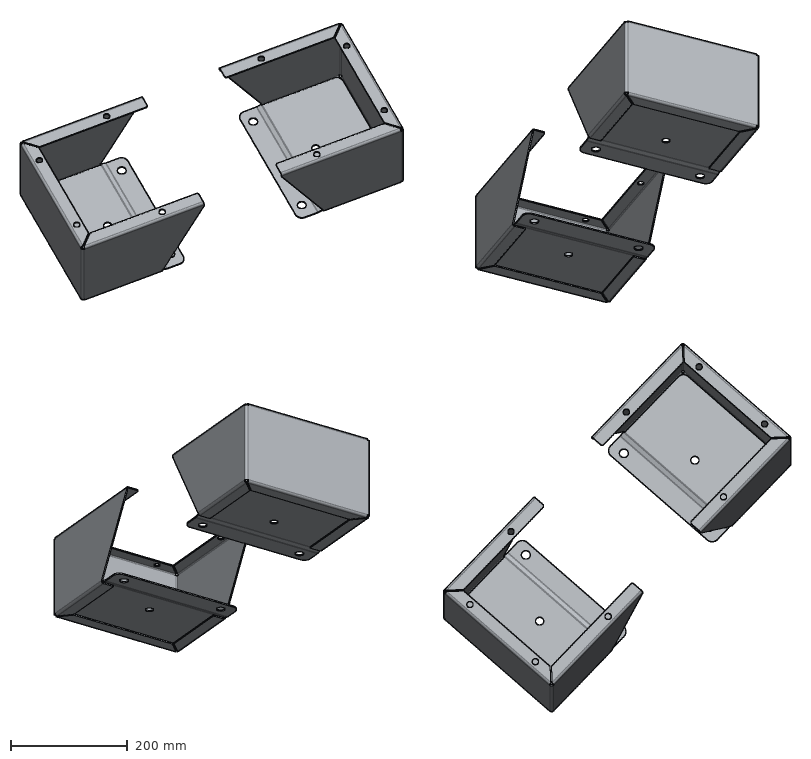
import cadquery as cq
import math

WIDTH = 254.0
LENGTH = 609.5
HEIGHT = 152.5

SHEET = 2.5
BEND_RADIUS = 4.0

BACK_Y = LENGTH / 2
TOP_FRONT_Y = 73.0
BOTTOM_FRONT_Y = 152.5
SLOPE_TOP_DROP = 7.5
FLANGE_WIDTH = 25.0
FLANGE_CORNER_RADIUS = 3.5
MITRE_GAP = 2.5
CORNER_RELIEF = 5.5

FLANGE_HOLE_DIAMETER = 11.0
FLANGE_HOLE_INSET = 14.0
BACK_HOLE_X = 76.0
SIDE_HOLE_Y = 146.0

PLATE_WIDTH = WIDTH - 2 * BEND_RADIUS
TAB_WIDTH = WIDTH - 2 * SHEET
PLATE_BACK_Y = BACK_Y - BEND_RADIUS
PLATE_CORNER_RADIUS = 12.0
STEP_TOP_Y = 152.0
STEP_BOTTOM_Y = 142.5
STEP_INSIDE_RADIUS = 3.0
TAB_FRONT_Y = 106.0

CENTRE_HOLE_DIAMETER = 14.0
CENTRE_HOLE_Y = 197.0
TAB_HOLE_DIAMETER = 15.0
TAB_HOLE_X = 99.0
TAB_HOLE_Y = 124.5


def rounded_block(inset, radius):
    """Block inset from the enclosure envelope, rounded everywhere but at its front end."""
    depth = BACK_Y - inset
    return (
        cq.Workplane("XY")
        .box(WIDTH - 2 * inset, depth, HEIGHT - 2 * inset, centered=(True, False, False))
        .translate((0, 0, inset))
        .edges("not <Y")
        .fillet(radius)
    )


def flange_opening():
    """Upright block that leaves only the flanges of the top and bottom faces."""
    return (
        cq.Workplane("XY")
        .rect(WIDTH - 2 * FLANGE_WIDTH, 2 * (BACK_Y - FLANGE_WIDTH))
        .extrude(HEIGHT)
    )


def front_cut():
    """Everything in front of the sloping open end of the side walls."""
    return (
        cq.Workplane("YZ")
        .moveTo(0, 0)
        .lineTo(BOTTOM_FRONT_Y, 0)
        .lineTo(BOTTOM_FRONT_Y, BEND_RADIUS)
        .lineTo(TOP_FRONT_Y, HEIGHT - SLOPE_TOP_DROP)
        .lineTo(TOP_FRONT_Y, HEIGHT)
        .lineTo(0, HEIGHT)
        .close()
        .extrude(WIDTH, both=True)
    )


def corner_cut(side, bottom):
    """Relief square and mitre gap that part the flanges at one back corner."""
    corner = (side * WIDTH / 2, BACK_Y, bottom)
    relief = cq.Workplane("XY").rect(2 * CORNER_RELIEF, 2 * CORNER_RELIEF).extrude(BEND_RADIUS)
    mitre_length = math.sqrt(2) * FLANGE_WIDTH
    mitre = (
        cq.Workplane("XY")
        .rect(2 * (mitre_length + MITRE_GAP), MITRE_GAP)
        .extrude(BEND_RADIUS)
        .rotate((0, 0, 0), (0, 0, 1), side * 45)
    )
    return relief.union(mitre).translate(corner)


def flange_holes():
    """Fastener holes through the top flanges."""
    side_hole_x = WIDTH / 2 - FLANGE_HOLE_INSET
    back_hole_y = BACK_Y - FLANGE_HOLE_INSET
    centres = []
    for side in (-1, 1):
        centres.append((side * BACK_HOLE_X, back_hole_y))
        centres.append((side * side_hole_x, SIDE_HOLE_Y))
    return (
        cq.Workplane("XY", origin=(0, 0, HEIGHT - BEND_RADIUS))
        .pushPoints(centres)
        .circle(FLANGE_HOLE_DIAMETER / 2)
        .extrude(BEND_RADIUS)
    )


def make_shell():
    """Bent sheet shell of the enclosure at the +Y end."""
    shell = rounded_block(0, BEND_RADIUS)
    shell = shell.cut(rounded_block(SHEET, BEND_RADIUS - SHEET))
    shell = shell.cut(flange_opening()).cut(front_cut())
    flange_x = WIDTH / 2 - FLANGE_WIDTH
    for side in (-1, 1):
        for bottom in (0, HEIGHT - BEND_RADIUS):
            shell = shell.cut(corner_cut(side, bottom))
        corner = (side * flange_x, TOP_FRONT_Y, HEIGHT - SHEET / 2)
        corner_edge = cq.selectors.NearestToPointSelector(corner)
        shell = shell.edges(corner_edge).fillet(FLANGE_CORNER_RADIUS)
    return shell.cut(flange_holes())


def plate_holes():
    """Centre hole of the base plate and the two mounting holes of its tab."""
    centre_hole = (
        cq.Workplane("XY")
        .center(0, CENTRE_HOLE_Y)
        .circle(CENTRE_HOLE_DIAMETER / 2)
        .extrude(2 * SHEET)
    )
    tab_holes = (
        cq.Workplane("XY")
        .pushPoints([(-TAB_HOLE_X, TAB_HOLE_Y), (TAB_HOLE_X, TAB_HOLE_Y)])
        .circle(TAB_HOLE_DIAMETER / 2)
        .extrude(SHEET)
    )
    return centre_hole.union(tab_holes)


def plate_section():
    """Stepped side section of the base plate, as wide as the tab, with rounded step bends."""
    section = (
        cq.Workplane("YZ")
        .moveTo(PLATE_BACK_Y, SHEET)
        .lineTo(STEP_TOP_Y, SHEET)
        .lineTo(STEP_BOTTOM_Y, 0)
        .lineTo(TAB_FRONT_Y, 0)
        .lineTo(TAB_FRONT_Y, SHEET)
        .lineTo(STEP_BOTTOM_Y, SHEET)
        .lineTo(STEP_TOP_Y, 2 * SHEET)
        .lineTo(PLATE_BACK_Y, 2 * SHEET)
        .close()
        .extrude(TAB_WIDTH / 2, both=True)
    )
    outside_radius = STEP_INSIDE_RADIUS + SHEET
    step_bends = [
        (STEP_TOP_Y, 2 * SHEET, outside_radius),
        (STEP_TOP_Y, SHEET, STEP_INSIDE_RADIUS),
        (STEP_BOTTOM_Y, SHEET, STEP_INSIDE_RADIUS),
        (STEP_BOTTOM_Y, 0, outside_radius),
    ]
    for y, z, radius in step_bends:
        bend_edge = cq.selectors.NearestToPointSelector((0, y, z))
        section = section.edges(bend_edge).fillet(radius)
    return section


def plate_outline():
    """Upright block with the plan outline: a wide tab in front of the narrower plate."""
    return (
        cq.Workplane("XY")
        .moveTo(-TAB_WIDTH / 2, TAB_FRONT_Y)
        .lineTo(TAB_WIDTH / 2, TAB_FRONT_Y)
        .lineTo(TAB_WIDTH / 2, BOTTOM_FRONT_Y)
        .lineTo(PLATE_WIDTH / 2, BOTTOM_FRONT_Y)
        .lineTo(PLATE_WIDTH / 2, PLATE_BACK_Y)
        .lineTo(-PLATE_WIDTH / 2, PLATE_BACK_Y)
        .lineTo(-PLATE_WIDTH / 2, BOTTOM_FRONT_Y)
        .lineTo(-TAB_WIDTH / 2, BOTTOM_FRONT_Y)
        .close()
        .extrude(2 * SHEET)
        .edges("|Z and (<Y or >Y)")
        .fillet(PLATE_CORNER_RADIUS)
    )


def make_base_plate():
    """Stepped base plate of the enclosure at the +Y end."""
    return plate_section().intersect(plate_outline()).cut(plate_holes())


shell = make_shell()
base_plate = make_base_plate()

bodies = []
for angle in (0, 180):
    for body in (shell, base_plate):
        bodies.append(body.rotate((0, 0, 0), (0, 0, 1), angle).val())

result = cq.Compound.makeCompound(bodies)